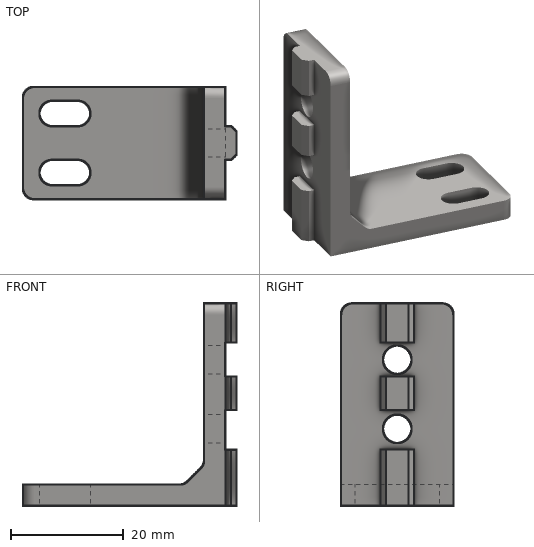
import cadquery as cq

length = 38.0
width = 20.0
height = 36.0

thickness = 3.8
corner_radius = 2.0
gusset_leg = 3.5
gusset_blend = 2.0

key_depth = 2.0
key_width = 6.0
key_chamfer = 1.0
lower_key_top = 10.0
middle_key_bottom = 17.0
middle_key_top = 23.0
upper_key_bottom = 29.0

hole_diameter = 5.0
hole_heights = (13.68, 25.95)

slot_length = 9.0
slot_width = 4.5
slot_spacing = 10.5
slot_center_x = 7.5

wall_back = length - key_depth
wall_front = wall_back - thickness


def make_bracket():
    """L-shaped plate with a blended inner gusset and rounded free corners."""
    profile = (
        cq.Workplane("XZ", origin=(0, width / 2, 0))
        .moveTo(0, 0)
        .lineTo(wall_back, 0)
        .lineTo(wall_back, height)
        .lineTo(wall_front, height)
        .lineTo(wall_front, thickness + gusset_leg)
        .lineTo(wall_front - gusset_leg, thickness)
        .lineTo(0, thickness)
        .close()
    )
    bracket = profile.extrude(width)
    gusset_ends = cq.selectors.BoxSelector(
        (wall_front - gusset_leg - 0.38, -width, thickness - 0.38),
        (wall_front + 0.38, width, thickness + gusset_leg + 0.38),
    )
    bracket = bracket.edges("|Y").edges(gusset_ends).fillet(gusset_blend)
    bracket = bracket.faces("<X").edges("|Z").fillet(corner_radius)
    return bracket.faces(">Z").edges("|X").fillet(corner_radius)


def make_key(bottom, top):
    """Key segment with both outer vertical edges chamfered."""
    embedded_depth = key_depth + thickness / 2
    return (
        cq.Workplane("XY")
        .box(embedded_depth, key_width, top - bottom, centered=(False, True, False))
        .faces(">X").edges("|Z").chamfer(key_chamfer)
        .translate((length - embedded_depth, 0, bottom))
    )


result = make_bracket()

key_spans = (
    (0, lower_key_top),
    (middle_key_bottom, middle_key_top),
    (upper_key_bottom, height),
)
for key_bottom, key_top in key_spans:
    result = result.union(make_key(key_bottom, key_top))

wall_holes = (
    cq.Workplane("YZ")
    .pushPoints([(0, hole_height) for hole_height in hole_heights])
    .circle(hole_diameter / 2)
    .extrude(length)
)
base_slots = (
    cq.Workplane("XY")
    .pushPoints([(slot_center_x, side * slot_spacing / 2) for side in (-1, 1)])
    .slot2D(slot_length, slot_width)
    .extrude(thickness)
)
result = result.cut(wall_holes).cut(base_slots)